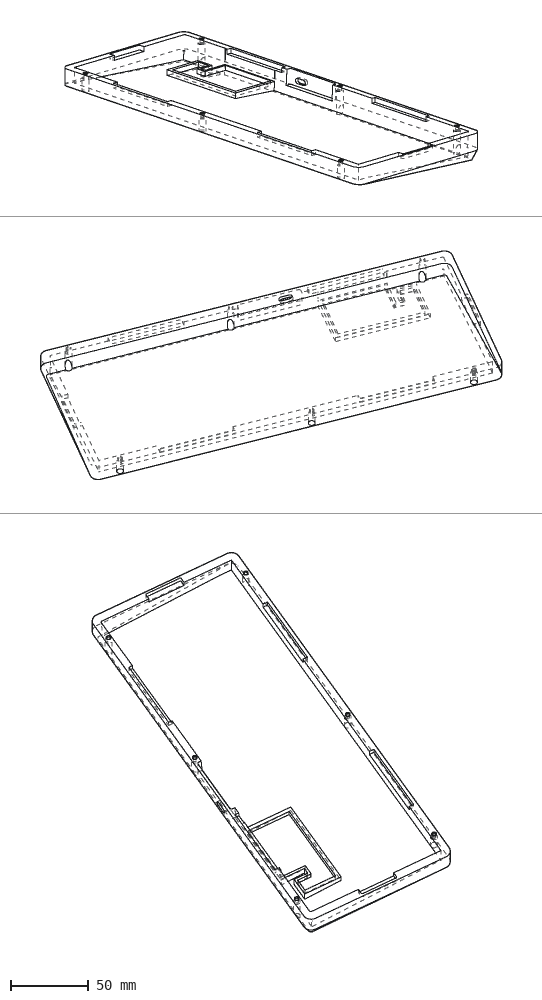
import cadquery as cq
import math

WIDTH = 279.7
DEPTH = 108.25
HEIGHT = 18.89
CORNER_RADIUS = 5.5
TILT_DEG = 4.0
TILT = math.tan(math.radians(TILT_DEG))
TAPER_DEG = 27.0

TOP_Z = 0.0
BOTTOM_Z = TOP_Z - HEIGHT
FRONT_Y = -DEPTH / 2
BACK_Y = DEPTH / 2
TAPER = math.tan(math.radians(TAPER_DEG))
BAND_HEIGHT = (HEIGHT - DEPTH * TILT) / (1 - TAPER * TILT)
BAND_Z = TOP_Z - BAND_HEIGHT

SIDE_WALL = 6.0
CAVITY_HALF_X = WIDTH / 2 - SIDE_WALL
FRONT_WALL = 5.8
BACK_WALL = 5.1
LEDGE_Z = TOP_Z - 10.7
FLAT_FLOOR_BACK_Y = -40.0
BACK_CORNER_RADIUS = 1.0

SCREW_DIAMETER = 2.2
HEAD_DIAMETER = 4.4
SCREW_CHAMFER = 0.5
HEAD_TOP_Z = TOP_Z - 3.2
SCREW_EDGE_OFFSET = 3.0
SCREW_OUTER_X = 120.3
SCREW_MIDDLE_X = 10.0
SCREW_Y = DEPTH / 2 - SCREW_EDGE_OFFSET

CLIP_DEPTH = 3.3
LONG_CLIP_LENGTH = 50.8
LONG_CLIP_X = 67.9
LONG_CLIP_SKIN = 2.5
LONG_CLIP_REACH = 6.5
SIDE_CLIP_LENGTH = 26.2
SIDE_CLIP_SKIN = 1.7
SIDE_CLIP_RADIUS = 0.8

PORT_LEFT_X = -37.6
PORT_RIGHT_X = 5.5
PORT_SKIN = 2.1
PORT_CORNER_RADIUS = 1.4
PLUG_WIDTH = 9.0
PLUG_HEIGHT = 3.6
PLUG_X = -28.2
PLUG_Z = TOP_Z - 7.0

FRAME_LEFT_X = -112.9
FRAME_RIGHT_X = -48.5
FRAME_FRONT_Y = 13.8
FRAME_WALL = 2.6
THIN_WALL = 1.7
BACK_RIB_WIDTH = 1.2
PAD_FACE_Y = 48.4
SMALL_BAY_BACK_Y = 40.9
GAP_LEFT_X = -99.4
GAP_RIGHT_X = -95.2
GAP_FRONT_Y = 30.9
FRAME_FLOOR_Z = TOP_Z - 14.0

CLEAR = 1.0


def block(x0, x1, y0, y1, z0, z1):
    """Axis-aligned box between two corners."""
    return cq.Workplane("XY").box(x1 - x0, y1 - y0, z1 - z0, centered=False).translate((x0, y0, z0))


def underside_z(y):
    """Height of the sloping underside at depth y."""
    return BAND_Z - TILT * (y - FRONT_Y)


def floor_z(y):
    """Height of the sloping cavity floor at depth y."""
    return LEDGE_Z - TILT * (y - FLAT_FLOOR_BACK_Y)


def back_wall_y(z):
    """Inner face of the leaning back wall at height z."""
    return BACK_Y - BACK_WALL - TILT * (TOP_Z - z)


def extrude_profile(profile, x0, x1):
    """Extrude a (Y, Z) outline from x0 to x1."""
    return cq.Workplane("YZ").workplane(offset=x0).polyline(profile).close().extrude(x1 - x0)


def outer_shell():
    """Rounded upright band over a tapered skirt that is cut off along the sloping underside."""
    band = (
        cq.Workplane("XY", origin=(0, 0, BAND_Z))
        .rect(WIDTH, DEPTH)
        .extrude(BAND_HEIGHT)
        .edges("|Z").fillet(CORNER_RADIUS)
    )
    skirt = band.faces("<Z").wires().toPending().workplane().extrude(
        HEIGHT - BAND_HEIGHT, taper=TAPER_DEG, combine=False
    )
    y0 = FRONT_Y - CLEAR
    y1 = BACK_Y + CLEAR
    below = extrude_profile(
        [(y0, underside_z(y0)), (y1, underside_z(y1)), (y1, BOTTOM_Z - HEIGHT), (y0, BOTTOM_Z - HEIGHT)],
        -WIDTH, WIDTH,
    )
    return band.union(skirt.cut(below))


def upper_cavity():
    """Level part of the tray, with rounded back corners."""
    front_y = FRONT_Y + FRONT_WALL
    open_z = TOP_Z + CLEAR
    space = extrude_profile(
        [
            (front_y, open_z),
            (front_y, LEDGE_Z),
            (back_wall_y(LEDGE_Z), LEDGE_Z),
            (back_wall_y(open_z), open_z),
        ],
        -CAVITY_HALF_X, CAVITY_HALF_X,
    )
    back_corners = space.faces(">Y").edges("<X or >X")
    return back_corners.fillet(BACK_CORNER_RADIUS)


def lower_cavity():
    """Wedge below the level part; its floor is parallel to the underside."""
    run = back_wall_y(LEDGE_Z) - FLAT_FLOOR_BACK_Y
    drop = run * TILT / (1 + TILT**2)
    bottom_z = LEDGE_Z - drop
    return extrude_profile(
        [(FLAT_FLOOR_BACK_Y, LEDGE_Z), (back_wall_y(bottom_z), bottom_z), (back_wall_y(LEDGE_Z), LEDGE_Z)],
        -CAVITY_HALF_X, CAVITY_HALF_X,
    )


def controller_mount():
    """Level-topped frame standing on the floor, with a pad that joins it to the back wall."""
    base_z = floor_z(BACK_Y)
    outer = block(FRAME_LEFT_X, FRAME_RIGHT_X, FRAME_FRONT_Y, SMALL_BAY_BACK_Y, base_z, LEDGE_Z)
    large_bay = block(GAP_RIGHT_X, FRAME_RIGHT_X, FRAME_FRONT_Y, back_wall_y(TOP_Z), base_z, LEDGE_Z)
    gap = block(GAP_LEFT_X, GAP_RIGHT_X, GAP_FRONT_Y, BACK_Y, base_z, LEDGE_Z)
    frame = outer.union(large_bay).cut(gap)

    left = FRAME_LEFT_X + FRAME_WALL
    right = FRAME_RIGHT_X - FRAME_WALL
    front = FRAME_FRONT_Y + FRAME_WALL
    small_pocket = block(left, right, front, SMALL_BAY_BACK_Y - THIN_WALL, FRAME_FLOOR_Z, LEDGE_Z)
    large_pocket = block(
        GAP_RIGHT_X + THIN_WALL, right, front, PAD_FACE_Y - BACK_RIB_WIDTH, FRAME_FLOOR_Z, LEDGE_Z
    )
    gap_wall = block(
        GAP_LEFT_X - THIN_WALL, GAP_RIGHT_X + THIN_WALL, GAP_FRONT_Y - THIN_WALL, BACK_Y, base_z, LEDGE_Z
    )
    pockets = small_pocket.union(large_pocket).cut(gap_wall)

    pad = block(GAP_RIGHT_X, FRAME_RIGHT_X, PAD_FACE_Y, back_wall_y(TOP_Z), LEDGE_Z, TOP_Z)
    return frame.cut(pockets).union(pad)


def long_clip_recess(x, side):
    """Recess in the front (side = -1) or back (side = 1) rim, open to the cavity."""
    outer_y = DEPTH / 2 - LONG_CLIP_SKIN
    inner_y = DEPTH / 2 - LONG_CLIP_REACH
    y0, y1 = sorted((side * inner_y, side * outer_y))
    half = LONG_CLIP_LENGTH / 2
    return block(x - half, x + half, y0, y1, TOP_Z - CLIP_DEPTH, TOP_Z + CLEAR)


def side_clip_recess(side):
    """Recess in the left (side = -1) or right (side = 1) rim with rounded outer corners."""
    outer_x = WIDTH / 2 - SIDE_CLIP_SKIN
    x0, x1 = sorted((side * CAVITY_HALF_X, side * outer_x))
    half = SIDE_CLIP_LENGTH / 2
    recess = block(x0, x1, -half, half, TOP_Z - CLIP_DEPTH, TOP_Z + CLEAR)
    outer_face = ">X" if side > 0 else "<X"
    return recess.faces(outer_face).edges("|Z").fillet(SIDE_CLIP_RADIUS)


def port_recess():
    """Deep recess that thins the back wall behind the cable port."""
    recess = block(
        PORT_LEFT_X, PORT_RIGHT_X, back_wall_y(LEDGE_Z), BACK_Y - PORT_SKIN, LEDGE_Z, TOP_Z + CLEAR
    )
    return recess.faces(">Y").edges("|Z").fillet(PORT_CORNER_RADIUS)


def plug_slot():
    """Rounded slot through the thinned back wall."""
    return (
        cq.Workplane("XZ", origin=(PLUG_X, BACK_Y + CLEAR, PLUG_Z))
        .slot2D(PLUG_WIDTH, PLUG_HEIGHT)
        .extrude(PORT_SKIN + 2 * CLEAR)
    )


def screw_hole(x, y):
    """Clearance hole, chamfered at the rim face, with a head counterbore from below."""
    shank = cq.Workplane("XY", origin=(x, y, BOTTOM_Z)).circle(SCREW_DIAMETER / 2).extrude(HEIGHT)
    head = (
        cq.Workplane("XY", origin=(x, y, BOTTOM_Z))
        .circle(HEAD_DIAMETER / 2)
        .extrude(HEAD_TOP_Z - BOTTOM_Z)
    )
    radius = SCREW_DIAMETER / 2
    mouth = cq.Solid.makeCone(
        radius, radius + SCREW_CHAMFER, SCREW_CHAMFER, pnt=cq.Vector(x, y, TOP_Z - SCREW_CHAMFER)
    )
    return shank.union(head).union(cq.Workplane(mouth))


shell = outer_shell()
body = shell.cut(upper_cavity()).cut(lower_cavity())
body = body.union(controller_mount().intersect(shell))

for rim_side in (-1, 1):
    for clip_x in (-LONG_CLIP_X, LONG_CLIP_X):
        body = body.cut(long_clip_recess(clip_x, rim_side))
    body = body.cut(side_clip_recess(rim_side))
    for screw_x in (-SCREW_OUTER_X, rim_side * SCREW_MIDDLE_X, SCREW_OUTER_X):
        body = body.cut(screw_hole(screw_x, rim_side * SCREW_Y))

result = body.cut(port_recess()).cut(plug_slot())